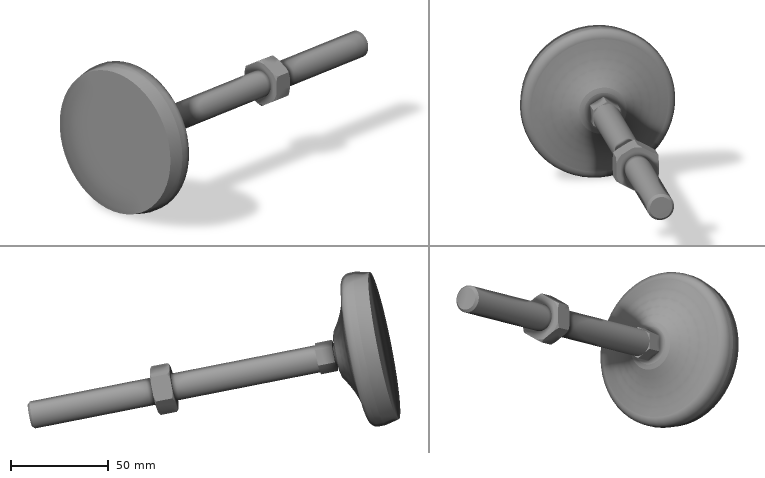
import cadquery as cq
import math

total_length = 185.0

foot_radius = 80.0 / 2
base_radius = 38.3
base_taper_height = 7.2
rim_top = 10.5
rim_fillet = 4.5
flare_mid_radius = 22.2
flare_mid_height = 18.3
crown_radius = 12.4
crown_edge_height = 23.9
crown_flat_radius = 9.8
foot_height = 24.6

neck_diameter = 10.0
spindle_diameter = 14.0
spindle_chamfer = 1.3
drive_across_flats = 14.0
drive_bottom = 25.7
drive_top = 34.6

nut_across_flats = 22.0
nut_bottom = 109.9
nut_thickness = 10.2
nut_bevel_height = 1.0
nut_face_radius = 11.5


def plane_at(height):
    """Plane facing +Y at the given height, with local X along global Z."""
    return cq.Plane(origin=(0, height, 0), xDir=(0, 0, 1), normal=(0, 1, 0))


def cylinder(diameter, bottom, top):
    return cq.Workplane(plane_at(bottom)).circle(diameter / 2).extrude(top - bottom)


def corner_diameter(across_flats):
    return across_flats / math.cos(math.radians(30))


def hexagon(across_flats, bottom, top):
    """Hexagonal prism with two opposite corners on the Z direction."""
    corners = cq.Workplane(plane_at(bottom)).polygon(6, corner_diameter(across_flats))
    return corners.extrude(top - bottom)


def revolve_about_y(profile):
    return profile.close().revolve(360, (0, 0, 0), (0, 1, 0))


def make_foot():
    shoulder_radius = foot_radius - rim_fillet
    shoulder_height = rim_top + rim_fillet
    rim_mid_offset = rim_fillet * math.sin(math.radians(45))
    rim_mid = (shoulder_radius + rim_mid_offset, rim_top + rim_mid_offset)
    profile = (
        cq.Workplane("XY")
        .lineTo(base_radius, 0)
        .lineTo(foot_radius, base_taper_height)
        .lineTo(foot_radius, rim_top)
        .threePointArc(rim_mid, (shoulder_radius, shoulder_height))
        .threePointArc(
            (flare_mid_radius, flare_mid_height),
            (crown_radius, crown_edge_height),
        )
        .lineTo(crown_flat_radius, foot_height)
        .lineTo(0, foot_height)
    )
    return revolve_about_y(profile)


def make_spindle():
    neck = cylinder(neck_diameter, foot_height, drive_bottom)
    drive = hexagon(drive_across_flats, drive_bottom, drive_top)
    rod = cylinder(spindle_diameter, drive_top, total_length)
    rod = rod.faces(">Y").chamfer(spindle_chamfer)
    return neck.union(drive).union(rod)


def make_nut():
    """Hexagon nut whose corners are bevelled by a cone at both ends."""
    nut_top = nut_bottom + nut_thickness
    corner_radius = corner_diameter(nut_across_flats) / 2
    bevel_envelope = revolve_about_y(
        cq.Workplane("XY")
        .moveTo(0, nut_bottom)
        .lineTo(nut_face_radius, nut_bottom)
        .lineTo(corner_radius, nut_bottom + nut_bevel_height)
        .lineTo(corner_radius, nut_top - nut_bevel_height)
        .lineTo(nut_face_radius, nut_top)
        .lineTo(0, nut_top)
    )
    return hexagon(nut_across_flats, nut_bottom, nut_top).intersect(bevel_envelope)


result = make_foot().union(make_spindle()).union(make_nut())